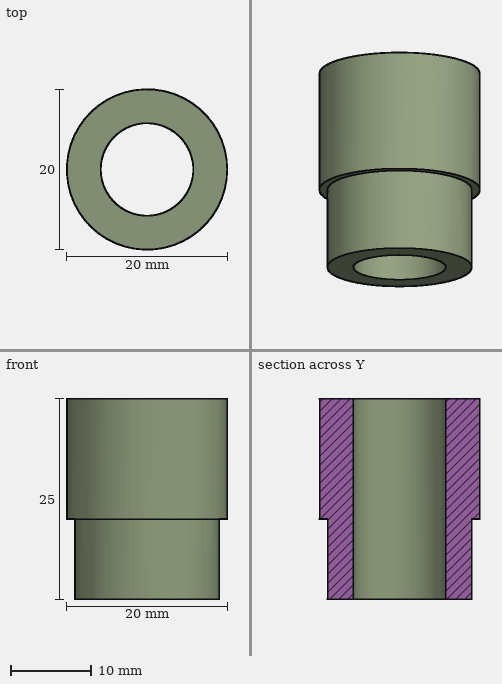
import cadquery as cq

total_height = 25.0
spigot_height = 10.0
head_height = total_height - spigot_height
head_diameter = 20.0
spigot_diameter = 18.0
bore_diameter = 11.5

spigot = cq.Workplane("XY").circle(spigot_diameter / 2).extrude(spigot_height)

body = spigot.faces(">Z").workplane().circle(head_diameter / 2).extrude(head_height)

result = body.faces(">Z").workplane().hole(bore_diameter)